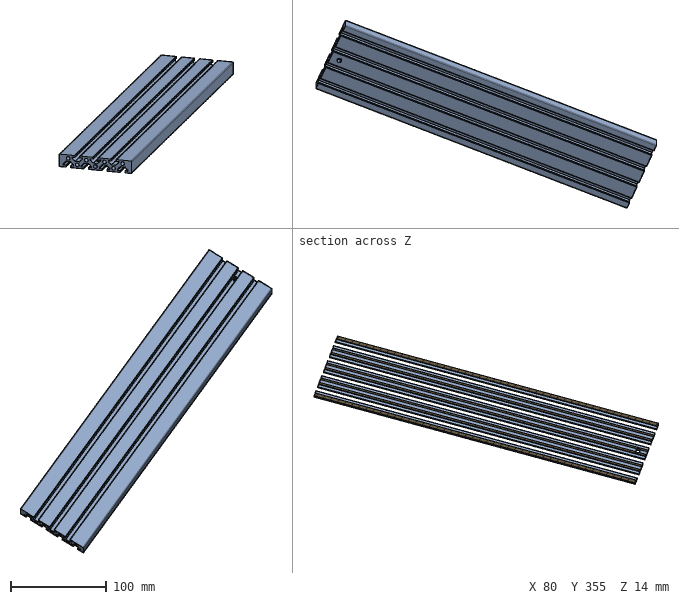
import cadquery as cq

WIDTH = 80.0
LENGTH = 355.0
HEIGHT = 14.0
EDGE_RADIUS = 0.9

SLOT_PITCH = WIDTH / 4
MOUTH_WIDTH = 5.5
MOUTH_CHAMFER = 0.5
LIP_THICKNESS = 2.0
CAVITY_WIDTH = 11.5
CAVITY_WALL = 1.0
SLOT_DEPTH = 6.5
FLOOR_WIDTH = 4.5

CHANNEL_DIAMETER = 4.0
CHANNEL_DEPTH = 4.0

CROSS_HOLE_DIAMETER = 4.5
CROSS_HOLE_FROM_END = 10.0

TOP_SLOTS = [i * SLOT_PITCH for i in (-1, 0, 1)]
BOTTOM_SLOTS = [i * SLOT_PITCH for i in (-1.5, -0.5, 0.5, 1.5)]


def extrude_along_length(sketch):
    """Extrude an XZ sketch over the whole length, centred on Y = 0."""
    return sketch.extrude(LENGTH / 2, both=True)


def t_slot(x, side):
    """T-slot at x, open to the top face (side = 1) or the bottom face (side = -1)."""
    half_section = [
        (MOUTH_WIDTH / 2 + MOUTH_CHAMFER, 0),
        (MOUTH_WIDTH / 2, MOUTH_CHAMFER),
        (MOUTH_WIDTH / 2, LIP_THICKNESS),
        (CAVITY_WIDTH / 2, LIP_THICKNESS),
        (CAVITY_WIDTH / 2, LIP_THICKNESS + CAVITY_WALL),
        (FLOOR_WIDTH / 2, SLOT_DEPTH),
    ]
    section = half_section + [(-across, depth) for across, depth in reversed(half_section)]
    points = [(x + across, side * (HEIGHT / 2 - depth)) for across, depth in section]
    return extrude_along_length(cq.Workplane("XZ").polyline(points).close())


def channel(x, side):
    """Round channel at x, near the face opposite the slot opening."""
    z = -side * (HEIGHT / 2 - CHANNEL_DEPTH)
    return extrude_along_length(cq.Workplane("XZ").center(x, z).circle(CHANNEL_DIAMETER / 2))


plate = cq.Workplane("XY").box(WIDTH, LENGTH, HEIGHT).edges("|Y").fillet(EDGE_RADIUS)

for slots, side in ((TOP_SLOTS, 1), (BOTTOM_SLOTS, -1)):
    for x in slots:
        plate = plate.cut(t_slot(x, side)).cut(channel(x, side))

cross_hole = (
    cq.Workplane("XY")
    .center(0, CROSS_HOLE_FROM_END - LENGTH / 2)
    .circle(CROSS_HOLE_DIAMETER / 2)
    .extrude(HEIGHT, both=True)
)

result = plate.cut(cross_hole)